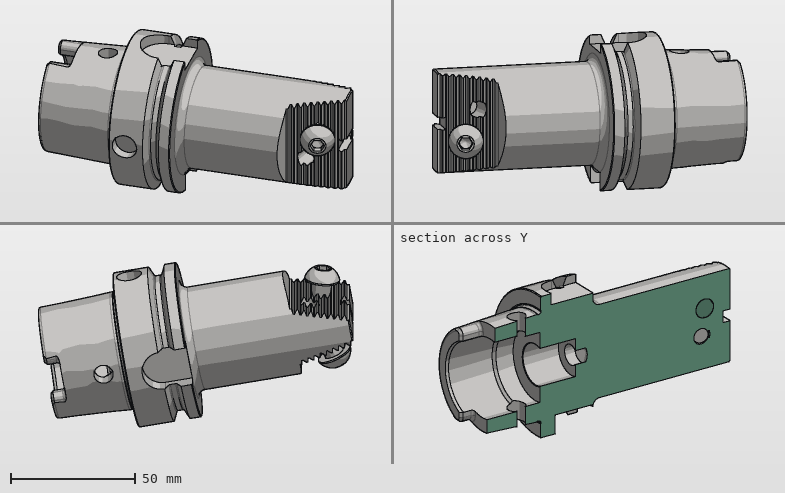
import cadquery as cq
import math

LENGTH = 124.1
SHANK_MOUTH_RADIUS = 22.7
SHANK_BASE_RADIUS = 24.1
SHANK_ROUND = 1.1
TAPER_END = 29.7
RELIEF_START = 30.7
RELIEF_DEPTH = 0.2
ROOT_ROUND_START = 31.4
ROOT_ROUND_RADIUS = 1.2
ROOT_ROUND_TOP = 24.7
FACE_RECESS_RADIUS = 25.2
FACE_RECESS_DEPTH = 0.2
FLANGE_START = 32.1
FLANGE_END = 57.7
FLANGE_RADIUS = 31.5
FLANGE_EDGE = 0.4
GROOVE_CENTRE = 49.8
GROOVE_RADIUS = 27.5
GROOVE_FLOOR = 3.0
GROOVE_HALF_ANGLE = math.radians(25)
GROOVE_FILLET = 0.6
NECK_RADIUS = 21.0
NECK_FILLET = 3.1
END_CHAMFER = 0.5

BORE_RADIUS = 16.9
BORE_CHAMFER_WIDTH = 0.5
BORE_CHAMFER_DEPTH = 1.2
BORE_SHOULDER = 22.3
BORE_INNER_RADIUS = 15.8
BORE_DEPTH = 31.8
COOLANT_RADIUS = 8.9
COOLANT_DEPTH = 17.4
COOLANT_CHAMFER = 0.2
DRILL_RADIUS = 4.5
DRILL_DEPTH = 5.0
DRILL_TIP_HALF_ANGLE = math.radians(59)

DRIVE_HALF_WIDTH = 6.2
DRIVE_DEPTH_TOP = 10.0
DRIVE_DEPTH_BOTTOM = 6.2
DRIVE_SHELF_HEIGHT = 20.6
DRIVE_SHELF_ROUND = 2.6
DRIVE_SHELF_END = 14.9
DRIVE_FLOOR_FILLET = 1.2
DRIVE_MOUTH_CHAMFER = 1.1

ACCESS_X = 22.8
ACCESS_RADIUS = 3.8
CHIP_HOLE_X = 38.8
CHIP_HOLE_RADIUS = 5.1
CHIP_HOLE_DEPTH = 4.8

KEY_TOP_START = 36.7
KEY_TOP_HALF_WIDTH = 9.0
KEY_TOP_FLOOR = 26.4
KEY_BOTTOM_START = 38.7
KEY_BOTTOM_HALF_WIDTH = 8.0
KEY_BOTTOM_FLOOR = 23.0

RAMP_ANGLE = math.radians(15)
RAMP_START_X = 101.0
WALL_RADIUS = 31.0
FIRST_CREST_X = 101.5
FIRST_CREST_Y = 12.2
TOOTH_PITCH = 2.72
TOOTH_HEIGHT = 1.7
TOOTH_FLAT = 0.5
TOOTH_COUNT = 8
LAST_FLANK_RUN = 0.4
NOSE_HALF_WIDTH = 4.5
CROSS_SLOT_DEPTH = 3.2
CROSS_SLOT_HALF_WIDTH = 2.5

SIDES = (0, 1)
SCREW_AXIS_X = 111.0
SCREW_Z = 6.0
SEAT_HEIGHT = 14.3
WASHER_THICKNESS = 0.6
HEAD_RADIUS = 7.1
HEAD_HEIGHT = 4.3
HEAD_FLAT_RADIUS = 3.5
SHANK_RADIUS = 4.0
TIP_RADIUS = 3.29
TIP_DEPTH = 2.5
HEX_ACROSS_FLATS = 5.0
HEX_DEPTH = 2.5
HEX_TURN = 30.0
SOCKET_TIP_HALF_ANGLE = math.radians(59)
TIP_HOLE_DEPTH = 11.8


def turned_over(shape, side):
    """The shape as it is for side 0, or turned half round about the X axis for side 1."""
    return shape.rotate((0, 0, 0), (1, 0, 0), 180 * side)


def turned_body():
    """Shank, grooved flange and neck as one revolved solid."""
    half_floor = GROOVE_FLOOR / 2
    half_groove = half_floor + (FLANGE_RADIUS - GROOVE_RADIUS) * math.tan(GROOVE_HALF_ANGLE)
    relief_radius = SHANK_BASE_RADIUS - RELIEF_DEPTH
    body = (
        cq.Workplane("XY")
        .lineTo(0, SHANK_MOUTH_RADIUS - SHANK_ROUND)
        .radiusArc((SHANK_ROUND, SHANK_MOUTH_RADIUS), SHANK_ROUND)
        .lineTo(TAPER_END, SHANK_BASE_RADIUS)
        .lineTo(RELIEF_START, SHANK_BASE_RADIUS)
        .lineTo(RELIEF_START + RELIEF_DEPTH, relief_radius)
        .lineTo(ROOT_ROUND_START, relief_radius)
        .radiusArc((FLANGE_START + FACE_RECESS_DEPTH, ROOT_ROUND_TOP), -ROOT_ROUND_RADIUS)
        .lineTo(FLANGE_START + FACE_RECESS_DEPTH, FACE_RECESS_RADIUS)
        .lineTo(FLANGE_START, FACE_RECESS_RADIUS)
        .lineTo(FLANGE_START, FLANGE_RADIUS - FLANGE_EDGE)
        .lineTo(FLANGE_START + FLANGE_EDGE, FLANGE_RADIUS)
        .lineTo(GROOVE_CENTRE - half_groove, FLANGE_RADIUS)
        .lineTo(GROOVE_CENTRE - half_floor, GROOVE_RADIUS)
        .lineTo(GROOVE_CENTRE + half_floor, GROOVE_RADIUS)
        .lineTo(GROOVE_CENTRE + half_groove, FLANGE_RADIUS)
        .lineTo(FLANGE_END - FLANGE_EDGE, FLANGE_RADIUS)
        .lineTo(FLANGE_END, FLANGE_RADIUS - FLANGE_EDGE)
        .lineTo(FLANGE_END, NECK_RADIUS + NECK_FILLET)
        .radiusArc((FLANGE_END + NECK_FILLET, NECK_RADIUS), -NECK_FILLET)
        .lineTo(LENGTH - END_CHAMFER, NECK_RADIUS)
        .lineTo(LENGTH, NECK_RADIUS - END_CHAMFER)
        .lineTo(LENGTH, 0)
        .close()
        .revolve(360, (0, 0, 0), (1, 0, 0))
    )
    groove_corners = cq.selectors.BoxSelector(
        (GROOVE_CENTRE - half_floor - FLANGE_EDGE, -FLANGE_RADIUS, -FLANGE_RADIUS),
        (GROOVE_CENTRE + half_floor + FLANGE_EDGE, FLANGE_RADIUS, FLANGE_RADIUS),
    )
    return body.edges("%CIRCLE").edges(groove_corners).fillet(GROOVE_FILLET)


def clamping_bore():
    """Stepped bore from the mouth, with the coolant counterbore and a drilled centre hole."""
    shoulder_step = BORE_RADIUS - BORE_INNER_RADIUS
    coolant_end = BORE_DEPTH + COOLANT_DEPTH
    drill_end = coolant_end + DRILL_DEPTH
    drill_tip = drill_end + DRILL_RADIUS / math.tan(DRILL_TIP_HALF_ANGLE)
    return (
        cq.Workplane("XY")
        .moveTo(0, 0)
        .lineTo(0, BORE_RADIUS + BORE_CHAMFER_WIDTH)
        .lineTo(BORE_CHAMFER_DEPTH, BORE_RADIUS)
        .lineTo(BORE_SHOULDER, BORE_RADIUS)
        .lineTo(BORE_SHOULDER + shoulder_step, BORE_INNER_RADIUS)
        .lineTo(BORE_DEPTH, BORE_INNER_RADIUS)
        .lineTo(BORE_DEPTH, COOLANT_RADIUS + COOLANT_CHAMFER)
        .lineTo(BORE_DEPTH + COOLANT_CHAMFER, COOLANT_RADIUS)
        .lineTo(coolant_end, COOLANT_RADIUS)
        .lineTo(coolant_end, DRILL_RADIUS)
        .lineTo(drill_end, DRILL_RADIUS)
        .lineTo(drill_tip, 0)
        .close()
        .revolve(360, (0, 0, 0), (1, 0, 0))
    )


def drive_outline(x, growth):
    """Slot section at x, grown outward: a straight slot that opens over rounded lips onto a shelf."""
    half_width = DRIVE_HALF_WIDTH + growth
    shelf = DRIVE_SHELF_HEIGHT - growth
    lip = DRIVE_SHELF_ROUND - growth
    return (
        cq.Workplane("YZ", origin=(x, 0, 0))
        .moveTo(-half_width, 0)
        .lineTo(half_width, 0)
        .lineTo(half_width, shelf - lip)
        .radiusArc((half_width + lip, shelf), lip)
        .lineTo(DRIVE_SHELF_END, shelf)
        .lineTo(DRIVE_SHELF_END, FLANGE_RADIUS)
        .lineTo(-DRIVE_SHELF_END, FLANGE_RADIUS)
        .lineTo(-DRIVE_SHELF_END, shelf)
        .lineTo(-half_width - lip, shelf)
        .radiusArc((-half_width, shelf - lip), lip)
        .close()
    )


def drive_slot(depth, side):
    """Slot in the mouth wall, with a filleted floor and a chamfered mouth: +Z for side 0, -Z for side 1."""
    slot = drive_outline(0, 0).extrude(depth)
    floor_edges = slot.faces(">X").edges("not(<Z or >Z or <Y or >Y)")
    slot = floor_edges.fillet(DRIVE_FLOOR_FILLET)
    mouth_wire = drive_outline(0, DRIVE_MOUTH_CHAMFER).val()
    inner_wire = drive_outline(DRIVE_MOUTH_CHAMFER, 0).val()
    mouth = cq.Solid.makeLoft([mouth_wire, inner_wire], True)
    return turned_over(slot.union(cq.Workplane(mouth)), side)


def key_slot(start, half_width, floor, side):
    """Round-ended slot, open at the neck face of the flange: +Z for side 0, -Z for side 1."""
    straight = FLANGE_END - start - half_width
    slot = (
        cq.Workplane("XY", origin=(start + half_width, 0, floor))
        .moveTo(0, half_width)
        .lineTo(straight, half_width)
        .lineTo(straight, -half_width)
        .lineTo(0, -half_width)
        .threePointArc((-half_width, 0), (0, half_width))
        .close()
        .extrude(FLANGE_RADIUS)
    )
    return turned_over(slot, side)


def access_hole():
    """Plain hole through both shank walls."""
    return cq.Workplane("XY", origin=(ACCESS_X, 0, 0)).circle(ACCESS_RADIUS).extrude(FLANGE_RADIUS, both=True)


def chip_hole():
    """Blind flat-bottomed hole in the flange on the -Y side."""
    return (
        cq.Workplane("XZ", origin=(CHIP_HOLE_X, -(FLANGE_RADIUS - CHIP_HOLE_DEPTH), 0))
        .circle(CHIP_HOLE_RADIUS)
        .extrude(FLANGE_RADIUS)
    )


def ramp_point(along, above):
    """Point at a distance along the ramp from its first crest and a height above the crests."""
    x = FIRST_CREST_X + along * math.cos(RAMP_ANGLE) + above * math.sin(RAMP_ANGLE)
    y = FIRST_CREST_Y - along * math.sin(RAMP_ANGLE) + above * math.cos(RAMP_ANGLE)
    return x, y


def serrated_ramp():
    """Material removed on the +Y side, between the curved end wall, the toothed ramp and the nose."""
    half_flat = TOOTH_FLAT / 2
    flank = TOOTH_PITCH / 2 - TOOTH_FLAT
    teeth = []
    for tooth in range(TOOTH_COUNT):
        crest = tooth * TOOTH_PITCH
        teeth += [
            ramp_point(crest + half_flat, 0),
            ramp_point(crest + half_flat + flank, -TOOTH_HEIGHT),
            ramp_point(crest + half_flat + flank + TOOTH_FLAT, -TOOTH_HEIGHT),
            ramp_point(crest + TOOTH_PITCH - half_flat, 0),
        ]
    last_crest = ramp_point(TOOTH_COUNT * TOOTH_PITCH + half_flat, 0)
    clear_x = LENGTH + TOOTH_PITCH
    clear_y = NECK_RADIUS + TOOTH_PITCH
    wall_rise = clear_y - FIRST_CREST_Y
    wall_set_back = WALL_RADIUS - math.sqrt(WALL_RADIUS**2 - wall_rise**2)
    return (
        cq.Workplane("XY")
        .polyline([(RAMP_START_X, FIRST_CREST_Y), *teeth, last_crest])
        .lineTo(last_crest[0] + LAST_FLANK_RUN, NOSE_HALF_WIDTH)
        .lineTo(clear_x, NOSE_HALF_WIDTH)
        .lineTo(clear_x, clear_y)
        .lineTo(RAMP_START_X - wall_set_back, clear_y)
        .radiusArc((RAMP_START_X, FIRST_CREST_Y), WALL_RADIUS)
        .close()
        .extrude(clear_y, both=True)
    )


def cross_slot():
    """Slot along Y across the nose end."""
    return (
        cq.Workplane("XY")
        .box(2 * CROSS_SLOT_DEPTH, 2 * NECK_RADIUS, 2 * CROSS_SLOT_HALF_WIDTH)
        .translate((LENGTH, 0, 0))
    )


def on_ramp(shape, side):
    """Place a shape made along +Z square to a ramp: -Y for side 0, +Y for side 1."""
    tilted = (
        shape.rotate((0, 0, 0), (1, 0, 0), 90)
        .rotate((0, 0, 0), (0, 0, 1), math.degrees(RAMP_ANGLE))
        .translate((SCREW_AXIS_X, 0, SCREW_Z))
    )
    return turned_over(tilted, side)


def screw(side):
    """Domed screw with a flat top and a hexagon socket that ends in a drill cone."""
    base = SEAT_HEIGHT + WASHER_THICKNESS
    drop = (HEAD_RADIUS**2 - HEAD_FLAT_RADIUS**2 - HEAD_HEIGHT**2) / (2 * HEAD_HEIGHT)
    dome = math.hypot(HEAD_RADIUS, drop)
    body = (
        cq.Workplane("XZ")
        .moveTo(0, -TIP_DEPTH)
        .lineTo(SHANK_RADIUS, -TIP_DEPTH)
        .lineTo(SHANK_RADIUS, base)
        .lineTo(HEAD_RADIUS, base)
        .radiusArc((HEAD_FLAT_RADIUS, base + HEAD_HEIGHT), -dome)
        .lineTo(0, base + HEAD_HEIGHT)
        .close()
        .revolve(360, (0, 0, 0), (0, 1, 0))
    )
    hexagon = (
        cq.Workplane("XY", origin=(0, 0, base + HEAD_HEIGHT - HEX_DEPTH))
        .polygon(6, HEX_ACROSS_FLATS, circumscribed=True)
        .extrude(HEX_DEPTH)
        .rotate((0, 0, 0), (0, 0, 1), HEX_TURN)
    )
    drill_radius = HEX_ACROSS_FLATS / 2
    drill_tip = cq.Workplane(
        cq.Solid.makeCone(
            drill_radius,
            0,
            drill_radius / math.tan(SOCKET_TIP_HALF_ANGLE),
            pnt=cq.Vector(0, 0, base + HEAD_HEIGHT - HEX_DEPTH),
            dir=cq.Vector(0, 0, -1),
        )
    )
    return on_ramp(body.cut(hexagon).cut(drill_tip), side)


def washer(side):
    """Flat ring under the screw head."""
    ring = (
        cq.Workplane("XY", origin=(0, 0, SEAT_HEIGHT))
        .circle(HEAD_RADIUS)
        .circle(SHANK_RADIUS)
        .extrude(WASHER_THICKNESS)
    )
    return on_ramp(ring, side)


def screw_hole(side):
    """Hole that fits the screw as far as its tip, then runs on narrower through the far ramp."""
    wide = cq.Workplane("XY", origin=(0, 0, -TIP_DEPTH)).circle(SHANK_RADIUS).extrude(2 * NECK_RADIUS)
    through = cq.Workplane("XY").circle(TIP_RADIUS).extrude(-TIP_HOLE_DEPTH)
    return on_ramp(wide.union(through), side)


def make_holder():
    """Turned body with every bore, slot, hole and ramp cut from it."""
    body = turned_body().cut(clamping_bore())
    body = body.cut(drive_slot(DRIVE_DEPTH_TOP, 0)).cut(drive_slot(DRIVE_DEPTH_BOTTOM, 1))
    body = body.cut(key_slot(KEY_TOP_START, KEY_TOP_HALF_WIDTH, KEY_TOP_FLOOR, 0))
    body = body.cut(key_slot(KEY_BOTTOM_START, KEY_BOTTOM_HALF_WIDTH, KEY_BOTTOM_FLOOR, 1))
    body = body.cut(access_hole()).cut(chip_hole())
    for side in SIDES:
        body = body.cut(turned_over(serrated_ramp(), side))
    body = body.cut(cross_slot())
    for side in SIDES:
        body = body.cut(screw_hole(side))
    return body


holder = make_holder()
screws = [screw(side).val() for side in SIDES]
washers = [washer(side).val() for side in SIDES]

result = cq.Compound.makeCompound([holder.val(), *screws, *washers])